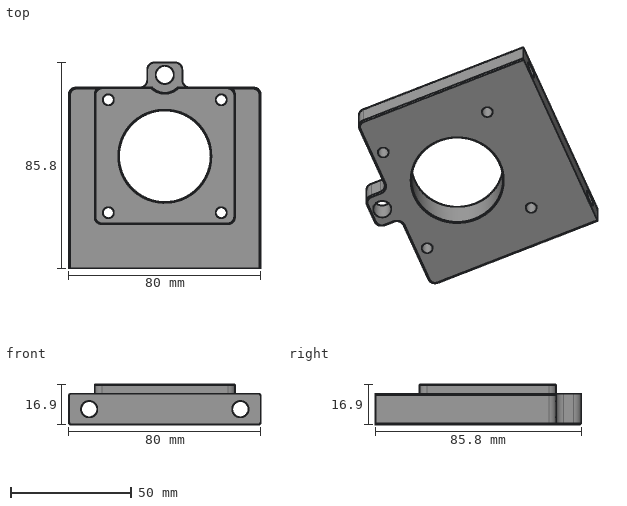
import cadquery as cq
import math

width = 80.0
base_depth = 75.3
base_height = 12.9
corner_radius = 3.0
base_chamfer = 0.6

total_height = 16.9
pad_width = 58.5
pad_depth = 57.0
pad_height = total_height - base_height
pad_chamfer = 0.4
pad_front = base_depth - pad_depth

bore_y = 46.7
bore_diameter = 38.1
bore_chamfer = 0.4
mount_pitch = 47.0
mount_diameter = 4.5

total_depth = 85.8
lug_width = 14.8
lug_corner_radius = 3.3
lug_root_radius = 3.0
lug_hole_diameter = 7.5
lug_hole_inset = 5.2
lug_hole_y = total_depth - lug_hole_inset
relief_radius = 7.5

long_hole_diameter = 6.7
long_hole_pitch = 63.0
long_hole_z = base_height / 2


def block(size_x, front, rear, bottom, height):
    """Box centred on X that spans front to rear along Y."""
    depth = rear - front
    return (
        cq.Workplane("XY", origin=(0, front + depth / 2, bottom))
        .box(size_x, depth, height, centered=(True, True, False))
    )


def vertical_cylinder(x, y, diameter, bottom=0.0):
    """Cylinder that reaches from the given level to the top of the part."""
    return (
        cq.Workplane("XY", origin=(x, y, bottom))
        .circle(diameter / 2)
        .extrude(total_height - bottom)
    )


def make_base():
    base = block(width, 0, base_depth, 0, base_height)
    base = base.edges("|Z and >Y").fillet(corner_radius)
    return base.faces(">Z").edges("not <Y").chamfer(base_chamfer)


def make_lug():
    lug = block(lug_width, base_depth - corner_radius, total_depth, 0, base_height)
    return lug.edges("|Z and >Y").fillet(lug_corner_radius)


def make_lug_root(side):
    """Concave blend between one side of the lug and the rear of the base."""
    inner_x = side * lug_width / 2
    outer_x = inner_x + side * lug_root_radius
    front = base_depth - base_chamfer
    tangent_y = base_depth + lug_root_radius
    mid_offset = lug_root_radius * (1 - math.cos(math.pi / 4))
    arc_middle = (inner_x + side * mid_offset, base_depth + mid_offset)
    return (
        cq.Workplane("XY")
        .moveTo(inner_x, front)
        .lineTo(outer_x, front)
        .lineTo(outer_x, base_depth)
        .threePointArc(arc_middle, (inner_x, tangent_y))
        .close()
        .extrude(base_height)
    )


def make_body():
    """Base and lug, with one chamfer around the underside except at the front."""
    body = make_base().union(make_lug())
    for side in (-1, 1):
        body = body.union(make_lug_root(side))
    return body.faces("<Z").edges("not <Y").chamfer(base_chamfer)


def make_pad():
    pad = block(pad_width, pad_front, base_depth, base_height, pad_height)
    pad = pad.edges("|Z").fillet(corner_radius)
    pad = pad.cut(vertical_cylinder(0, lug_hole_y, 2 * relief_radius, base_height))
    return pad.faces(">Z").chamfer(pad_chamfer)


def cut_bore(body):
    body = body.cut(vertical_cylinder(0, bore_y, bore_diameter))
    largest_circle = cq.selectors.RadiusNthSelector(-1)
    for end_face in (">Z", "<Z"):
        body = body.faces(end_face).edges("%CIRCLE").edges(largest_circle).chamfer(bore_chamfer)
    return body


def cut_mount_holes(body):
    for side_x in (-1, 1):
        for side_y in (-1, 1):
            x = side_x * mount_pitch / 2
            y = bore_y + side_y * mount_pitch / 2
            body = body.cut(vertical_cylinder(x, y, mount_diameter))
    return body


def cut_long_holes(body):
    for side in (-1, 1):
        hole = (
            cq.Workplane("XZ", origin=(side * long_hole_pitch / 2, 0, long_hole_z))
            .circle(long_hole_diameter / 2)
            .extrude(-base_depth)
        )
        body = body.cut(hole)
    return body


body = make_body().union(make_pad())
body = cut_bore(body)
body = cut_mount_holes(body)
body = cut_long_holes(body)
result = body.cut(vertical_cylinder(0, lug_hole_y, lug_hole_diameter))